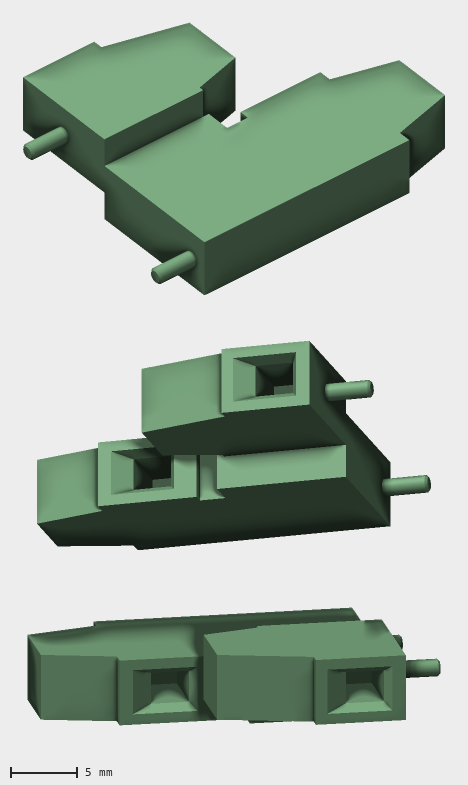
import cadquery as cq

total_width = 21.6
short_width = 9.7
body_length = 25.23
thickness = 5.05
level_step = thickness / 2

crown_width = 5.45
short_crown_left = 2.7
short_length = 13.85
short_shoulder_y = 6.85
short_shoulder_width = 0.85
short_foot_x = 9.3
short_foot_y = 9.5
tall_crown_left = 13.6
tall_shoulder_y = 19.72
tall_shoulder_width = 1.12

tall_side_x = 11.02
notch_x = 11.88
notch_bottom_y = 10.05
notch_top_y = 12.03

mouth_length = 4.95
mouth_height = 3.45
mouth_edge_y = 1.03
throat_length = 2.9
throat_height = 2.4
throat_edge_y = 1.52
taper_depth = 0.8
entry_depth = 5.75
entry_spacing_y = 12.75

pin_diameter = 1.32
pin_length = 28.7 - body_length
pin_chamfer = 0.17
short_pin_x = 4.82
tall_pin_x = 20.03


def housing(outline, bottom_z):
    return cq.Workplane("XY").workplane(offset=bottom_z).polyline(outline).close().extrude(thickness)


def wire_entry(face_x, shift_y, middle_z):
    """Cutter running in +X from a housing side face."""
    mouth_y = shift_y + mouth_edge_y + mouth_length / 2
    throat_y = shift_y + throat_edge_y + throat_length / 2
    mouth = (
        cq.Workplane("YZ", origin=(face_x, mouth_y, middle_z))
        .rect(mouth_length, mouth_height)
        .workplane(offset=taper_depth)
        .center(throat_y - mouth_y, 0)
        .rect(throat_length, throat_height)
        .loft(ruled=True)
    )
    throat = (
        cq.Workplane("YZ", origin=(face_x + taper_depth, throat_y, middle_z))
        .rect(throat_length, throat_height)
        .extrude(entry_depth - taper_depth)
    )
    return mouth.union(throat)


def pin(x, z):
    """Pin pointing in -Y with a chamfered tip."""
    return (
        cq.Workplane("XZ", origin=(x, 0, z))
        .circle(pin_diameter / 2)
        .extrude(pin_length)
        .faces("<Y")
        .chamfer(pin_chamfer)
    )


short_outline = [
    (0, 0),
    (short_width, 0),
    (short_width, short_foot_y),
    (short_foot_x, short_foot_y),
    (short_crown_left + crown_width, short_length),
    (short_crown_left, short_length),
    (short_shoulder_width, short_shoulder_y),
    (0, short_shoulder_y),
]
tall_outline = [
    (short_width, 0),
    (total_width, 0),
    (total_width, tall_shoulder_y),
    (total_width - tall_shoulder_width, tall_shoulder_y),
    (tall_crown_left + crown_width, body_length),
    (tall_crown_left, body_length),
    (tall_side_x + tall_shoulder_width, tall_shoulder_y),
    (tall_side_x, tall_shoulder_y),
    (tall_side_x, notch_top_y),
    (notch_x, notch_top_y),
    (notch_x, notch_bottom_y),
    (short_width, notch_bottom_y),
]

tall_middle_z = thickness / 2
short_middle_z = level_step + thickness / 2

result = (
    housing(tall_outline, 0)
    .union(housing(short_outline, level_step))
    .cut(wire_entry(0, 0, short_middle_z))
    .cut(wire_entry(tall_side_x, entry_spacing_y, tall_middle_z))
    .union(pin(short_pin_x, short_middle_z))
    .union(pin(tall_pin_x, tall_middle_z))
)